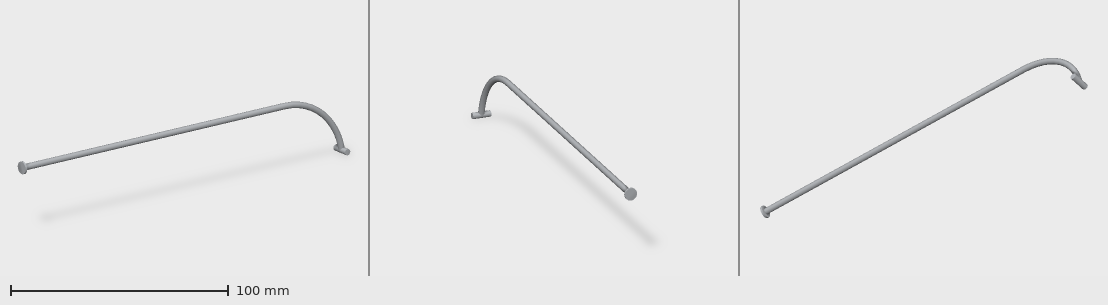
import cadquery as cq
import math

rod_diameter = 3.0
rod_length = 150.0
head_diameter = 6.0
head_thickness = 1.0
bend_radius = 33.5
bend_angle = 80.0
pin_diameter = 3.0
pin_length = 9.0

fuse_tolerance = 1e-4


def bend_point(angle):
    """(Y, Z) of the bend centreline, angle degrees past the straight rod."""
    turn = math.radians(angle)
    y = rod_length + bend_radius * math.sin(turn)
    z = -bend_radius * (1 - math.cos(turn))
    return (y, z)


def make_rod():
    """Straight round rod along +Y, starting at the head."""
    return cq.Workplane("XZ").circle(rod_diameter / 2).extrude(-rod_length)


def make_head():
    """Round disc closing the front end of the rod."""
    return cq.Workplane("XZ").circle(head_diameter / 2).extrude(head_thickness)


def make_bend():
    """Round rod continuing tangentially and curving down to the cross pin."""
    centreline = (
        cq.Workplane("YZ")
        .moveTo(*bend_point(0))
        .threePointArc(bend_point(bend_angle / 2), bend_point(bend_angle))
    )
    section = cq.Workplane("XZ", origin=(0, rod_length, 0)).circle(rod_diameter / 2)
    return section.sweep(centreline)


def make_cross_pin():
    """Round pin along X, centred on the end of the bend."""
    return (
        cq.Workplane("YZ")
        .center(*bend_point(bend_angle))
        .circle(pin_diameter / 2)
        .extrude(pin_length / 2, both=True)
    )


hook = make_rod().union(make_head()).union(make_bend())
result = hook.union(make_cross_pin(), tol=fuse_tolerance)